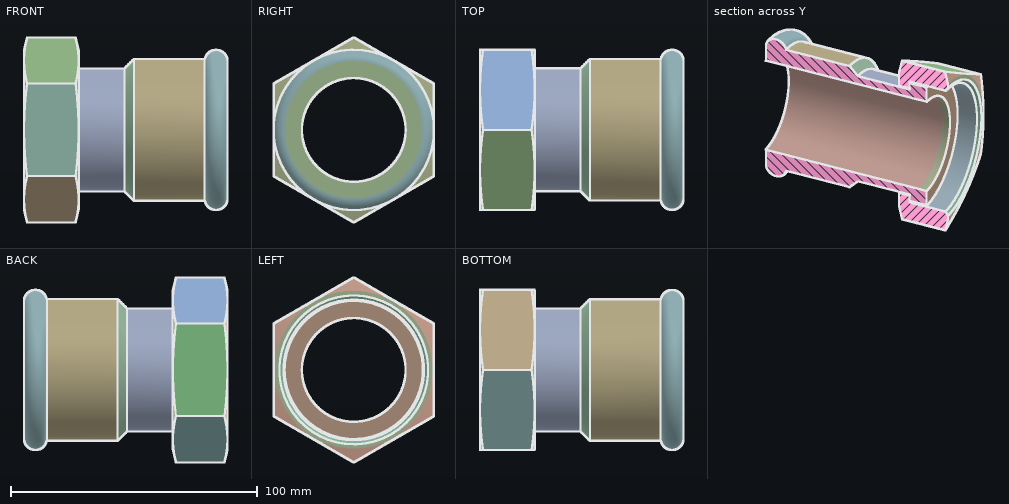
import cadquery as cq
import math

total_length = 82.6

nut_across_flats = 65.0
nut_across_corners = nut_across_flats / math.cos(math.radians(30))
nut_length = 22.3
nut_face_diameter = 63.9
corner_chamfer_length = 1.3
nut_bore_diameter = 57.0
countersink_diameter = 60.3
countersink_depth = 1.15
nut_shoulder_x = 17.35
nut_neck_diameter = 50.5

flange_diameter = 56.0
flange_face_x = 9.7
tail_diameter = 50.0
sleeve_diameter = 57.5
cone_start_x = 40.8
cone_length = (sleeve_diameter - tail_diameter) / 2
bead_diameter = 65.0
bead_radius = 4.7
bore_diameter = 42.0
mouth_diameter = 42.1
mouth_depth = 2.65
mouth_taper_length = 0.4


def revolve_about_x(profile):
    """Turn a closed (X, radius) profile into a solid about the X axis."""
    return profile.close().revolve(360, (0, 0, 0), (1, 0, 0))


def make_nut():
    hexagon = (
        cq.Workplane("YZ")
        .transformed(rotate=(0, 0, 90))
        .polygon(6, nut_across_corners)
        .extrude(nut_length)
    )

    face_radius = nut_face_diameter / 2
    corner_radius = nut_across_corners / 2
    corner_envelope = revolve_about_x(
        cq.Workplane("XY")
        .moveTo(0, 0)
        .lineTo(0, face_radius)
        .lineTo(corner_chamfer_length, corner_radius)
        .lineTo(nut_length - corner_chamfer_length, corner_radius)
        .lineTo(nut_length, face_radius)
        .lineTo(nut_length, 0)
    )

    stepped_bore = revolve_about_x(
        cq.Workplane("XY")
        .moveTo(0, 0)
        .lineTo(0, countersink_diameter / 2)
        .lineTo(countersink_depth, nut_bore_diameter / 2)
        .lineTo(nut_shoulder_x, nut_bore_diameter / 2)
        .lineTo(nut_shoulder_x, nut_neck_diameter / 2)
        .lineTo(nut_length, nut_neck_diameter / 2)
        .lineTo(nut_length, 0)
    )
    return hexagon.intersect(corner_envelope).cut(stepped_bore)


def make_tailpiece():
    flange_radius = flange_diameter / 2
    tail_radius = tail_diameter / 2
    sleeve_radius = sleeve_diameter / 2
    bore_radius = bore_diameter / 2
    mouth_radius = mouth_diameter / 2

    bead_center_x = total_length - bead_radius
    bead_center_radius = bead_diameter / 2 - bead_radius
    bead_start_x = bead_center_x - math.sqrt(bead_radius**2 - (sleeve_radius - bead_center_radius) ** 2)

    mouth_end_x = flange_face_x + mouth_depth
    return revolve_about_x(
        cq.Workplane("XY")
        .moveTo(flange_face_x, mouth_radius)
        .lineTo(flange_face_x, flange_radius)
        .lineTo(nut_shoulder_x, flange_radius)
        .lineTo(nut_shoulder_x, tail_radius)
        .lineTo(cone_start_x, tail_radius)
        .lineTo(cone_start_x + cone_length, sleeve_radius)
        .lineTo(bead_start_x, sleeve_radius)
        .threePointArc((bead_center_x, bead_diameter / 2), (total_length, bead_center_radius))
        .lineTo(total_length, bore_radius)
        .lineTo(mouth_end_x + mouth_taper_length, bore_radius)
        .lineTo(mouth_end_x, mouth_radius)
    )


nut = make_nut()
tailpiece = make_tailpiece()

result = cq.Compound.makeCompound([nut.val(), tailpiece.val()])